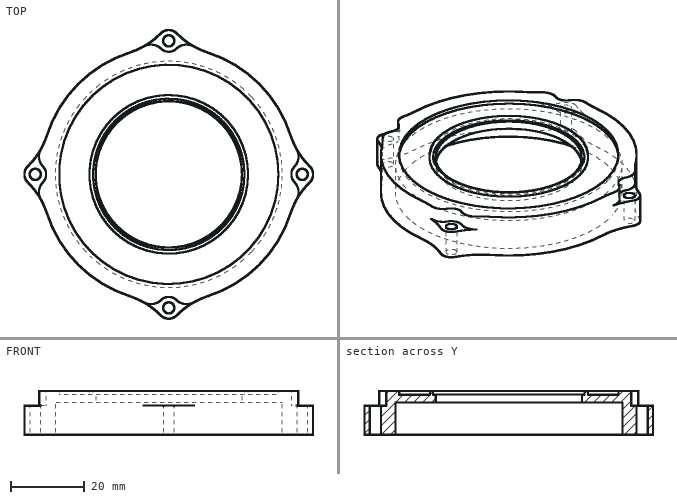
import cadquery as cq
import math

height = 12.0
body_radius = 35.0
overall_width = 79.0

ear_count = 4
ear_radius = 3.0
ear_hole_diameter = 3.0
ear_height = 8.0
ear_distance = overall_width / 2 - ear_radius
ear_blend_radius = 20.0
relief_radius = 3.0
relief_blend_radius = 4.0

recess_diameter = 60.0
recess_depth = 1.0
lip_outer_diameter = 43.4
lip_inner_diameter = 41.4
lip_edge_radius = 0.4
bore_diameter = 40.0
web_thickness = 2.2
cavity_diameter = 62.0
cavity_height = height - recess_depth - web_thickness


def circle_meeting(first, first_radius, second, second_radius):
    """Meeting point of two circles that lies right of the way from first to second."""
    dx = second[0] - first[0]
    dy = second[1] - first[1]
    gap = math.hypot(dx, dy)
    along = (first_radius**2 - second_radius**2 + gap**2) / (2 * gap)
    aside = math.sqrt(first_radius**2 - along**2)
    return (
        first[0] + (along * dx + aside * dy) / gap,
        first[1] + (along * dy - aside * dx) / gap,
    )


def toward(start, target, distance):
    """Point at a distance from start on the line to target."""
    ratio = distance / math.dist(start, target)
    return (
        start[0] + ratio * (target[0] - start[0]),
        start[1] + ratio * (target[1] - start[1]),
    )


def on_arc(center, radius, start, end):
    """Middle point of the minor arc from start to end."""
    chord_middle = ((start[0] + end[0]) / 2, (start[1] + end[1]) / 2)
    return toward(center, chord_middle, radius)


def mirrored(point):
    return (-point[0], point[1])


origin = (0, 0)
ear_center = (0, ear_distance)
blend_center = circle_meeting(
    origin, body_radius + ear_blend_radius, ear_center, ear_radius + ear_blend_radius
)
body_tangent = toward(origin, blend_center, body_radius)
ear_tangent = toward(ear_center, blend_center, ear_radius)
blend_middle = on_arc(blend_center, ear_blend_radius, body_tangent, ear_tangent)

relief_blend_center = circle_meeting(
    ear_center,
    relief_radius + relief_blend_radius,
    blend_center,
    ear_blend_radius + relief_blend_radius,
)
relief_tangent = toward(ear_center, relief_blend_center, relief_radius)
relief_end = toward(blend_center, relief_blend_center, ear_blend_radius)
relief_middle = on_arc(relief_blend_center, relief_blend_radius, relief_tangent, relief_end)


def make_ear():
    """Ear on the +Y axis, blended into the body and closed at the body's center."""
    return (
        cq.Workplane("XY")
        .moveTo(*origin)
        .lineTo(*body_tangent)
        .threePointArc(blend_middle, ear_tangent)
        .threePointArc((0, ear_distance + ear_radius), mirrored(ear_tangent))
        .threePointArc(mirrored(blend_middle), mirrored(body_tangent))
        .close()
        .extrude(height)
    )


def make_relief():
    """Cutter that clears the space above the ear on the +Y axis."""
    outer_corner = (relief_end[0], overall_width / 2 + ear_radius)
    return (
        cq.Workplane("XY")
        .workplane(offset=ear_height)
        .moveTo(*outer_corner)
        .lineTo(*relief_end)
        .threePointArc(relief_middle, relief_tangent)
        .threePointArc((0, ear_distance - relief_radius), mirrored(relief_tangent))
        .threePointArc(mirrored(relief_middle), mirrored(relief_end))
        .lineTo(*mirrored(outer_corner))
        .close()
        .extrude(height - ear_height)
    )


def disc(diameter, bottom, top):
    return cq.Workplane("XY").workplane(offset=bottom).circle(diameter / 2).extrude(top - bottom)


def around(shape, index):
    return shape.rotate((0, 0, 0), (0, 0, 1), index * 360 / ear_count)


result = disc(2 * body_radius, 0, height)
for index in range(ear_count):
    result = result.union(around(make_ear(), index))
for index in range(ear_count):
    result = result.cut(around(make_relief(), index))
result = (
    result.faces("<Z")
    .workplane(origin=origin)
    .polarArray(ear_distance, 0, 360, ear_count)
    .hole(ear_hole_diameter)
)

recess_floor = height - recess_depth
result = result.cut(disc(recess_diameter, recess_floor, height))
result = result.cut(disc(bore_diameter, 0, height))
result = result.cut(disc(cavity_diameter, 0, cavity_height))

lip = disc(lip_outer_diameter, recess_floor, height).cut(disc(lip_inner_diameter, recess_floor, height))
result = result.union(lip.faces(">Z").edges().fillet(lip_edge_radius))